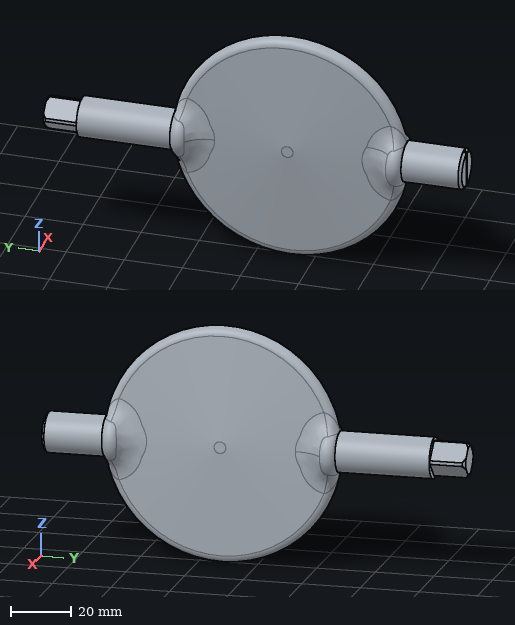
import cadquery as cq
import math

disc_radius = 40.5
rim_radius = 3.0
disc_half_thickness = 5.0
flat_radius = 2.0

shaft_radius = 7.0
drive_shaft_end = 72.0
slotted_shaft_end = -60.5
shaft_chamfer = 1.0

collar_radius = 9.0
collar_round = 3.0
collar_outer = 40.0
collar_blend = 11.0

drive_end = 84.0
drive_across_flats = 9.3
drive_corner_radius = 6.0
drive_chamfer = 1.0

slot_width = 1.0
slot_depth = 1.0


def cylinder_along_y(radius, start, end):
    return cq.Workplane("XZ", origin=(0, start, 0)).circle(radius).extrude(start - end)


def make_disc():
    """Double-conical disc: flat tips at the centre, full round at the rim."""
    rim_centre = disc_radius - rim_radius
    run = rim_centre - flat_radius
    rise = disc_half_thickness
    tilt = math.atan2(rise, run) - math.asin(rim_radius / math.hypot(run, rise))
    tangent_x = rim_radius * math.cos(tilt)
    tangent_r = rim_centre + rim_radius * math.sin(tilt)
    return (
        cq.Workplane("XY")
        .moveTo(-disc_half_thickness, 0)
        .lineTo(-disc_half_thickness, flat_radius)
        .lineTo(-tangent_x, tangent_r)
        .threePointArc((0, disc_radius), (tangent_x, tangent_r))
        .lineTo(disc_half_thickness, flat_radius)
        .lineTo(disc_half_thickness, 0)
        .close()
        .revolve(360, (0, 0, 0), (1, 0, 0))
    )


def make_collar():
    """Fully rounded collar on the +Y side."""
    collar_inner = collar_outer - 2 * collar_round
    return (
        cq.Workplane("XY")
        .moveTo(0, collar_inner)
        .lineTo(collar_radius - collar_round, collar_inner)
        .threePointArc(
            (collar_radius, collar_outer - collar_round),
            (collar_radius - collar_round, collar_outer),
        )
        .lineTo(0, collar_outer)
        .close()
        .revolve(360, (0, 0, 0), (0, 1, 0))
    )


def make_blended_hub_disc():
    """Disc with a collar at each end, blended into the disc faces and rim."""
    collar = make_collar()
    body = make_disc().union(collar).union(collar.rotate((0, 0, 0), (0, 0, 1), 180))
    seams = [edge for edge in body.edges().vals() if edge.geomType() not in ("LINE", "CIRCLE")]
    return body.newObject(seams).fillet(collar_blend)


def make_drive_square():
    """Square on edge, its corners limited by a round bar with a chamfered end."""
    bar = cylinder_along_y(drive_corner_radius, drive_shaft_end, drive_end)
    bar = bar.faces(">Y").chamfer(drive_chamfer)
    square = (
        cq.Workplane("XZ")
        .rect(drive_across_flats, drive_across_flats)
        .extrude(-drive_end)
        .rotate((0, 0, 0), (0, 1, 0), 45)
    )
    return bar.intersect(square)


def make_slotted_shaft():
    """Plain shaft with a chamfered end and a slot in line with the disc."""
    shaft = cylinder_along_y(shaft_radius, slotted_shaft_end, -collar_outer + collar_round)
    shaft = shaft.faces("<Y").chamfer(shaft_chamfer)
    slot = cq.Workplane("XY").box(slot_width, 2 * slot_depth, 2 * shaft_radius)
    return shaft.cut(slot.translate((0, slotted_shaft_end, 0)))


drive_shaft = cylinder_along_y(shaft_radius, collar_outer - collar_round, drive_shaft_end)

result = (
    make_blended_hub_disc()
    .union(drive_shaft)
    .union(make_drive_square())
    .union(make_slotted_shaft())
)